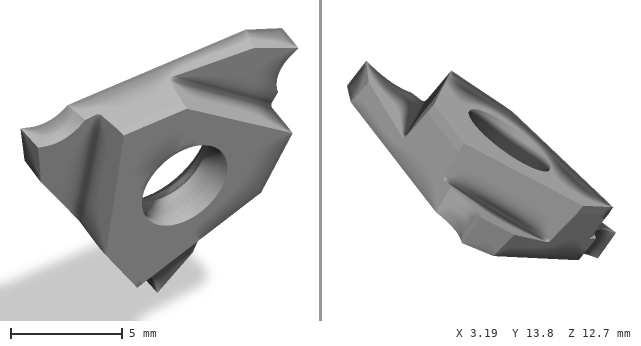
import cadquery as cq
import math

ARM_COUNT = 3
THICKNESS = 3.19
REACH = 20.68

FLANK_DISTANCE = 4.52
REAR_FLANK_DISTANCE = 4.73
REAR_BAND = 0.48
FIRST_CORNER = 30

TIP = (7.12, 3.64)
END_FLANK_START = (5.15, FLANK_DISTANCE)
END_CLEARANCE_ANGLE = 1.3

NOTCH_START = (-4.0, 4.76)
NOTCH_BOTTOM = (-5.55, 4.01)
LAND_START = (-6.18, 4.12)
LAND_TIP = (-6.73, 4.32)

WALL_DIRECTION = 52.0
ROOT_X = 1.08
ROOT_DISTANCE = 3.96
WALL_DRAFT = 4.0
ROOT_RISE = 2.9
ROOT_FILLET = 0.17

MOUTH_RADIUS = 3.27
SEAT_RADIUS = 2.62
STEP_RADIUS = 2.41
BORE_RADIUS = 2.25
SEAT_DEPTH = 0.7
STEP_DEPTH = 1.35


def make_blank():
    """Triangle with drafted flanks and a straight band at the rear."""
    drafted_depth = THICKNESS - REAR_BAND
    corner_ratio = 1 / math.cos(math.pi / ARM_COUNT)

    def triangle(distance):
        angles = [math.radians(FIRST_CORNER + 360 / ARM_COUNT * i) for i in range(ARM_COUNT)]
        radius = distance * corner_ratio
        return [(radius * math.cos(a), radius * math.sin(a)) for a in angles]

    drafted = (
        cq.Workplane("YZ").polyline(triangle(FLANK_DISTANCE)).close()
        .workplane(offset=drafted_depth)
        .polyline(triangle(REAR_FLANK_DISTANCE)).close()
        .loft(ruled=True)
    )
    band = (
        cq.Workplane("YZ", origin=(drafted_depth, 0, 0))
        .polyline(triangle(REAR_FLANK_DISTANCE)).close()
        .extrude(REAR_BAND)
    )
    return drafted.union(band)


def make_end_flank_cutter():
    """Block outside the end flank, leaning inward towards the rear for clearance."""
    run_y = TIP[0] - END_FLANK_START[0]
    run_z = TIP[1] - END_FLANK_START[1]
    lean = math.tan(math.radians(END_CLEARANCE_ANGLE))
    length = math.hypot(run_y, run_z)
    outward = (lean, -run_z / length, run_y / length)
    plane = cq.Plane(origin=(0, *TIP), xDir=(0, run_y, run_z), normal=outward)
    return cq.Workplane(plane).box(REACH, REACH, REACH, centered=(True, True, False))


def make_notch_cutter():
    """Arc followed by a straight land that runs out past the tip."""
    land_slope = (LAND_TIP[1] - LAND_START[1]) / (LAND_TIP[0] - LAND_START[0])
    overrun = 2.76
    outer_y = LAND_TIP[0] - overrun
    outer_z = LAND_TIP[1] - overrun * land_slope
    top_z = FLANK_DISTANCE + overrun
    return (
        cq.Workplane("YZ").moveTo(*NOTCH_START)
        .threePointArc(NOTCH_BOTTOM, LAND_START)
        .lineTo(outer_y, outer_z)
        .lineTo(outer_y, top_z)
        .lineTo(NOTCH_START[0], top_z)
        .close().extrude(THICKNESS)
    )


def make_recess_cutter():
    """Tilted block whose rounded lower edge forms the root between arm and wall."""
    direction = math.radians(WALL_DIRECTION)
    out_y, out_z = math.cos(direction), math.sin(direction)
    draft = math.tan(math.radians(WALL_DRAFT))
    rise = math.tan(math.radians(ROOT_RISE))
    plane = cq.Plane(
        origin=(ROOT_X, ROOT_DISTANCE * out_y, ROOT_DISTANCE * out_z),
        xDir=(rise, out_z, -out_y),
        normal=(1, -draft * out_y - rise * out_z, -draft * out_z + rise * out_y),
    )
    block = (
        cq.Workplane("XY").box(REACH, REACH, REACH, centered=(True, False, False))
        .edges("|X and <Y and <Z").fillet(ROOT_FILLET)
    )
    return cq.Workplane(block.val().moved(cq.Location(plane)))


def make_hole():
    """Two conical entries, a small step and a plain bore, revolved about X."""
    profile = [
        (0, 0),
        (0, MOUTH_RADIUS),
        (SEAT_DEPTH, SEAT_RADIUS),
        (STEP_DEPTH, STEP_RADIUS),
        (STEP_DEPTH, BORE_RADIUS),
        (THICKNESS, BORE_RADIUS),
        (THICKNESS, 0),
    ]
    return cq.Workplane("XY").polyline(profile).close().revolve(360, (0, 0, 0), (1, 0, 0))


arm_cutters = [make_end_flank_cutter(), make_notch_cutter(), make_recess_cutter()]

result = make_blank()
for arm in range(ARM_COUNT):
    for cutter in arm_cutters:
        result = result.cut(cutter.rotate((0, 0, 0), (1, 0, 0), arm * 360 / ARM_COUNT))
result = result.cut(make_hole())